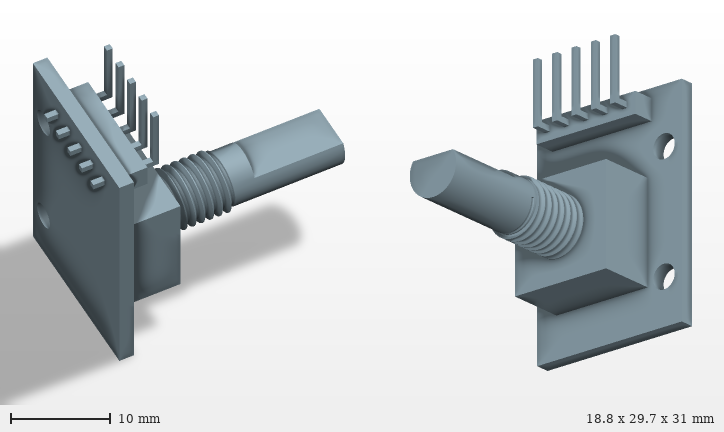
import cadquery as cq
import math


board_width = 18.8
board_height = 26.32
board_thickness = 1.65
board_left = -10.37
board_top = 15.55
board_bottom = board_top - board_height

hole_diameter = 2.8
hole_edge_distance = 2.33
hole_bottom_distance = 5.45
hole_spacing = 14.12

body_side = 11.85
body_depth = 6.58

shaft_radius = 3.0
shaft_length = 20.18
flat_length = 10.03
flat_height = 1.52
shaft_tip = body_depth + shaft_length

thread_pitch = 1.0
thread_radius = 3.4
thread_length = 7.45
thread_depth = 0.55
groove_root_width = thread_pitch / 4
groove_length = 8.05
flank_angle = 60
flank_slope = math.tan(math.radians(flank_angle / 2))
groove_overrun = 2 * thread_pitch
cutter_clearance = 0.05

pin_count = 5
pin_pitch = 2.5
pin_side = 0.65
pin_row_center = -0.03
pin_reach = 4.47
pin_tail = 1.3
pin_rise = 4.72
header_width = 12.88
header_height = 2.48
header_depth = 2.58
header_top_distance = 2.35
header_z = board_top - header_top_distance


def block(x_size, z_size, y_start, y_end, x_center=0, z_center=0):
    """Box centred on a point of the XZ plane and spanning a range of Y."""
    y_center = (y_start + y_end) / 2
    return cq.Workplane("XY").box(x_size, y_end - y_start, z_size).translate((x_center, y_center, z_center))


def rod(radius, y_end):
    """Cylinder along +Y from the board to y_end."""
    return cq.Workplane("XZ").circle(radius).extrude(-y_end)


def make_board():
    board = block(
        board_width,
        board_height,
        -board_thickness,
        0,
        board_left + board_width / 2,
        board_top - board_height / 2,
    )
    hole_x = board_left + hole_edge_distance
    lower_hole_z = board_bottom + hole_bottom_distance
    hole_centers = [(hole_x, lower_hole_z), (hole_x, lower_hole_z + hole_spacing)]
    holes = cq.Workplane("XZ").pushPoints(hole_centers).circle(hole_diameter / 2).extrude(board_thickness)
    return board.cut(holes)


def make_groove():
    """Right-handed thread groove that starts on the -X side and runs towards the board."""
    root_radius = thread_radius - thread_depth
    outer_radius = thread_radius + cutter_clearance
    root_half = groove_root_width / 2
    outer_half = root_half + (outer_radius - root_radius) * flank_slope
    helix = cq.Wire.makeHelix(thread_pitch, groove_length + groove_overrun, root_radius)
    groove = (
        cq.Workplane("XZ")
        .moveTo(root_radius, -root_half)
        .lineTo(outer_radius, -outer_half)
        .lineTo(outer_radius, outer_half)
        .lineTo(root_radius, root_half)
        .close()
        .sweep(cq.Workplane(obj=helix), isFrenet=True)
    )
    groove = groove.rotate((0, 0, 0), (1, 0, 0), 90).rotate((0, 0, 0), (0, 1, 0), 180)
    return groove.translate((0, body_depth + groove_length, 0))


def make_shaft():
    shaft = rod(shaft_radius, shaft_tip)
    removed_height = shaft_radius - flat_height
    above_flat = block(
        2 * shaft_radius,
        removed_height,
        shaft_tip - flat_length,
        shaft_tip,
        z_center=flat_height + removed_height / 2,
    )
    thread_blank = rod(thread_radius, body_depth + thread_length)
    return shaft.cut(above_flat).union(thread_blank).cut(make_groove())


def make_pin(x):
    """Square pin that passes through the board and header, then turns up."""
    pin_bottom = header_z - pin_side / 2
    pin_top = board_top + pin_rise
    level_leg = block(pin_side, pin_side, -board_thickness - pin_tail, pin_reach, x, header_z)
    upright_leg = block(
        pin_side,
        pin_top - pin_bottom,
        pin_reach - pin_side,
        pin_reach,
        x,
        (pin_bottom + pin_top) / 2,
    )
    return level_leg.union(upright_leg)


def make_header():
    header = block(header_width, header_height, 0, header_depth, z_center=header_z)
    first_pin_x = pin_row_center - pin_pitch * (pin_count - 1) / 2
    for index in range(pin_count):
        header = header.union(make_pin(first_pin_x + index * pin_pitch))
    return header


body = block(body_side, body_side, 0, body_depth)
result = make_board().union(make_shaft()).union(body).union(make_header())